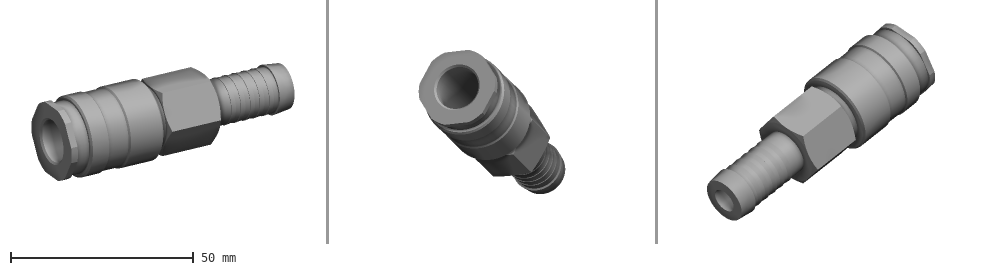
import cadquery as cq
import math


flange_length = 2.0
neck_end = 6.0
ring_end = 12.0
sleeve_start = 18.0
sleeve_end = 29.0
hex_start = 31.0
hex_end = 48.0
total_length = 73.0

flange_radius = 11.05
flange_across_flats = 21.0

neck_radius = 10.3
sleeve_radius = 11.5
sleeve_chamfer = 0.5
waist_radius = 11.1
collar_radius = 9.0

hex_sides = 6
hex_across_flats = 19.0
hex_chamfer_angle = 30.0

tail_radius = 6.5
end_barb_length = 5.0
end_barb_radius = 7.1
rib_count = 5
rib_pitch = 3.0
rib_length = 1.5
rib_height = 0.2

through_bore_radius = 3.5
socket_bore_radius = 6.05
socket_bore_depth = 25.0
mouth_chamfer = 0.55


def revolve_profile(points):
    """Revolve a closed (radius, y) outline around the Y axis."""
    return cq.Workplane("XY").polyline(points).close().revolve(360, (0, 0, 0), (0, 1, 0))


def cylinder(radius, start, end):
    return revolve_profile([(0, start), (radius, start), (radius, end), (0, end)])


def hex_prism(across_flats, start, end):
    """Hexagonal prism along Y with two flats facing +Z and -Z."""
    across_corners = across_flats / math.cos(math.pi / hex_sides)
    plane = cq.Plane(origin=(0, start, 0), xDir=(1, 0, 0), normal=(0, 1, 0))
    return cq.Workplane(plane).polygon(hex_sides, across_corners).extrude(end - start)


def make_flange():
    """Round flange with six wrench flats."""
    disc = cylinder(flange_radius, 0, flange_length)
    return disc.intersect(hex_prism(flange_across_flats, 0, flange_length))


def make_socket_body():
    """Neck, chamfered ring, waist, chamfered sleeve and the collar that meets the hexagon."""
    chamfered_radius = sleeve_radius - sleeve_chamfer
    waist_step = sleeve_radius - waist_radius
    return revolve_profile([
        (0, flange_length),
        (neck_radius, flange_length),
        (neck_radius, neck_end),
        (chamfered_radius, neck_end),
        (sleeve_radius, neck_end + sleeve_chamfer),
        (sleeve_radius, ring_end - waist_step),
        (waist_radius, ring_end),
        (waist_radius, sleeve_start),
        (sleeve_radius, sleeve_start + sleeve_chamfer),
        (sleeve_radius, sleeve_end - sleeve_chamfer),
        (chamfered_radius, sleeve_end),
        (collar_radius, sleeve_end),
        (collar_radius, hex_start),
        (0, hex_start),
    ])


def make_hexagon():
    """Hexagon with its corners turned down to a cone at both ends."""
    face_radius = hex_across_flats / 2
    corner_radius = face_radius / math.cos(math.pi / hex_sides)
    chamfer_length = (corner_radius - face_radius) * math.tan(math.radians(hex_chamfer_angle))
    envelope = revolve_profile([
        (0, hex_start),
        (face_radius, hex_start),
        (corner_radius, hex_start + chamfer_length),
        (corner_radius, hex_end - chamfer_length),
        (face_radius, hex_end),
        (0, hex_end),
    ])
    return hex_prism(hex_across_flats, hex_start, hex_end).intersect(envelope)


def make_hose_tail():
    """Hose tail with low saw-tooth ribs and a flared barb at the tip."""
    barb_start = total_length - end_barb_length
    first_rib = barb_start - rib_count * rib_pitch
    rib_radius = tail_radius + rib_height
    points = [(0, hex_end), (tail_radius, hex_end)]
    for index in range(rib_count):
        crest = first_rib + index * rib_pitch
        points += [(tail_radius, crest), (rib_radius, crest), (tail_radius, crest + rib_length)]
    points += [
        (tail_radius, barb_start),
        (end_barb_radius, barb_start),
        (tail_radius, total_length),
        (0, total_length),
    ]
    return revolve_profile(points)


def make_bores():
    """Through bore plus the wider socket bore with its chamfered mouth."""
    return revolve_profile([
        (0, 0),
        (socket_bore_radius + mouth_chamfer, 0),
        (socket_bore_radius, mouth_chamfer),
        (socket_bore_radius, socket_bore_depth),
        (through_bore_radius, socket_bore_depth),
        (through_bore_radius, total_length),
        (0, total_length),
    ])


body = make_flange().union(make_socket_body()).union(make_hexagon()).union(make_hose_tail())
result = body.cut(make_bores())